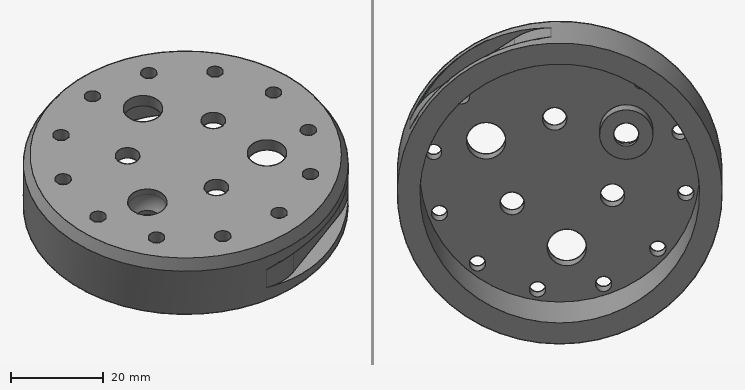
import cadquery as cq
import math

outer_diameter = 70.0
height = 15.0
top_thickness = 3.0
cavity_diameter = 60.2
chamfer_width = 1.5
chamfer_height = 2.5

outer_radius = outer_diameter / 2
cavity_height = height - top_thickness
straight_height = height - chamfer_height

rim_hole_count = 12
rim_hole_diameter = 3.5
rim_hole_radius = 27.6

port_count = 3
port_diameter = 8.5
port_circle_radius = 17.5
socket_angle = 270.0
port_angles = [socket_angle + 360 / port_count * i for i in range(port_count)]

inner_hole_diameter = 5.25
inner_circle_radius = 12.5
inner_hole_angles = [angle + 180 for angle in port_angles]

socket_bore_depth = 1.55
socket_drain_diameter = 5.4
boss_diameter = 11.5
boss_length = 3.0

grip_floor_x = 32.0
grip_flat_half_width = 10.5
grip_floor_half_height = 3.3
grip_mouth_half_height = 4.3
grip_middle_z = straight_height / 2
grip_clearance = 0.7
grip_corner_radius = (
    (outer_radius**2 - grip_flat_half_width**2 - grip_floor_x**2)
    / (2 * (outer_radius - grip_floor_x))
)
grip_end_angle = math.asin(grip_flat_half_width / (outer_radius - grip_corner_radius))
grip_end_x = outer_radius * math.cos(grip_end_angle)
grip_half_length = outer_radius * math.sin(grip_end_angle)


def on_circle(radius, angle):
    """Point at a given angle, in degrees, on a circle about the Z axis."""
    turn = math.radians(angle)
    return (radius * math.cos(turn), radius * math.sin(turn))


def make_shell():
    """Hollow cap with a conical chamfer around the top edge."""
    cavity_radius = cavity_diameter / 2
    return (
        cq.Workplane("XZ")
        .moveTo(0, cavity_height)
        .lineTo(cavity_radius, cavity_height)
        .lineTo(cavity_radius, 0)
        .lineTo(outer_radius, 0)
        .lineTo(outer_radius, straight_height)
        .lineTo(outer_radius - chamfer_width, height)
        .lineTo(0, height)
        .close()
        .revolve(360, (0, 0, 0), (0, 1, 0))
    )


def make_grip_cutter():
    """Wedge-shaped recesses on +X and -X, outside a core with rounded corners."""
    flare = (grip_mouth_half_height - grip_floor_half_height) / (outer_radius - grip_floor_x)
    outer_x = outer_radius + grip_clearance
    inner_half_height = grip_floor_half_height - flare * (grip_floor_x - grip_end_x)
    outer_half_height = grip_floor_half_height + flare * (outer_x - grip_floor_x)
    wedge = (
        cq.Workplane("XZ")
        .moveTo(grip_end_x, grip_middle_z + inner_half_height)
        .lineTo(outer_x, grip_middle_z + outer_half_height)
        .lineTo(outer_x, grip_middle_z - outer_half_height)
        .lineTo(grip_end_x, grip_middle_z - inner_half_height)
        .close()
        .extrude(grip_half_length, both=True)
    )
    core = (
        cq.Workplane("XY")
        .rect(2 * grip_floor_x, 2 * (grip_flat_half_width + grip_corner_radius))
        .extrude(height)
        .edges("|Z")
        .fillet(grip_corner_radius)
    )
    recess = wedge.cut(core)
    return recess.union(recess.mirror("YZ"))


def make_holes(points, diameter):
    """Vertical cylinders through the full height at the given points."""
    return cq.Workplane("XY").pushPoints(points).circle(diameter / 2).extrude(height)


def make_boss():
    """Cylinder hanging under the top plate around the ball socket."""
    return (
        cq.Workplane("XY", origin=(0, 0, cavity_height - boss_length))
        .center(*on_circle(port_circle_radius, socket_angle))
        .circle(boss_diameter / 2)
        .extrude(boss_length + top_thickness / 2)
    )


def make_socket_cutter():
    """Bore with a spherical seat and a drain hole below it."""
    x, y = on_circle(port_circle_radius, socket_angle)
    seat_z = height - socket_bore_depth
    bore = (
        cq.Workplane("XY", origin=(x, y, seat_z))
        .circle(port_diameter / 2)
        .extrude(socket_bore_depth)
    )
    seat = cq.Workplane("XY", origin=(x, y, seat_z)).sphere(port_diameter / 2)
    return bore.union(seat).union(make_holes([(x, y)], socket_drain_diameter))


rim_step = 360 / rim_hole_count
rim_points = [on_circle(rim_hole_radius, (i + 0.5) * rim_step) for i in range(rim_hole_count)]
port_points = [on_circle(port_circle_radius, a) for a in port_angles[1:]]
inner_points = [on_circle(inner_circle_radius, a) for a in inner_hole_angles]

result = (
    make_shell()
    .union(make_boss())
    .cut(make_grip_cutter())
    .cut(make_holes(rim_points, rim_hole_diameter))
    .cut(make_holes(port_points, port_diameter))
    .cut(make_holes(inner_points, inner_hole_diameter))
    .cut(make_socket_cutter())
)